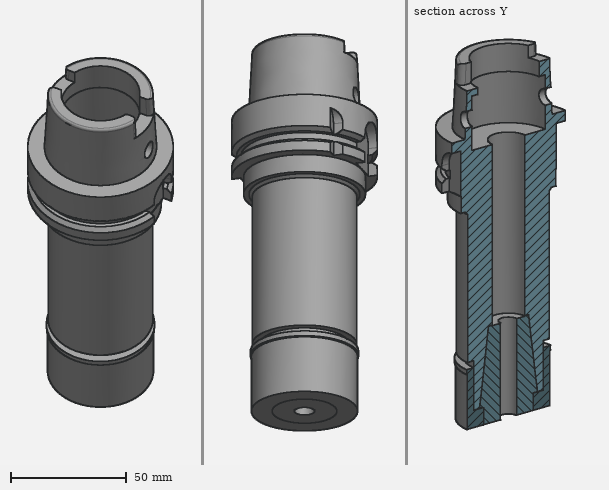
import cadquery as cq


shank_height = 32.0
flange_bottom = -26.0
neck_bottom = -34.0
nut_bottom = -135.0

shank_base_radius = 24.3
shank_taper = 1 / 20
shank_top_radius = shank_base_radius - shank_taper * shank_height
shank_top_fillet = 1.2
clamp_hole_diameter = 7.5
clamp_hole_height = 8.8

notch_width = 12.2
notch_corner_radius = 2.2
left_notch_depth = 5.8
right_notch_depth = 9.8

mouth_radius = 17.0
mouth_depth = 13.0
undercut_radius = 20.2
bore_floor = -6.0
center_bore_radius = 9.0

flange_radius = 31.5
groove_radius = 27.5
groove_side_radius = 29.4
groove_top = -16.2
groove_bottom = -19.85
groove_chamfer_height = 1.65

keyway_width = 16.0
keyway_top = -5.0
keyway_floor = 26.5
index_width = 12.0
index_top = -5.2
index_wall = 19.9
index_floor = 20.2

neck_radius = 26.4
barrel_radius = 22.7
barrel_chamfer = 1.3
barrel_bottom = -104.0
nose_radius = 19.5
nose_bottom = -127.0

nut_radius = 23.0
nut_top = -107.0
nut_lip_radius = 23.4
nut_lip_height = 2.2
nut_lip_chamfer = nut_lip_radius - nut_radius

collet_bore_radius = 4.4
collet_top = -90.0
collet_top_radius = 11.0
collet_seat_radius = 16.0
collet_front_radius = 14.0


def revolve(points):
    """Turn a closed outline of (radius, height) points about Z, starting from -Y."""
    outline = [(-radius, height) for radius, height in points]
    return cq.Workplane("YZ").polyline(outline).close().revolve(360, (0, 0, 0), (0, 1, 0))


def cylinder(radius, bottom, top):
    return cq.Workplane("XY").workplane(offset=bottom).circle(radius).extrude(top - bottom)


def collet_shape():
    """Outside of the collet, also used for its seat in the holder."""
    return revolve([
        (0, nut_bottom),
        (collet_front_radius, nut_bottom),
        (collet_front_radius, nose_bottom),
        (collet_seat_radius, nose_bottom),
        (collet_top_radius, collet_top),
        (0, collet_top),
    ])


def shank_blank():
    return revolve([
        (0, 0),
        (shank_base_radius, 0),
        (shank_top_radius, shank_height),
        (0, shank_height),
    ])


def make_shank():
    shank = shank_blank().cut(cylinder(mouth_radius, shank_height - mouth_depth, shank_height))
    for side, depth in ((-1, left_notch_depth), (1, right_notch_depth)):
        notch_floor = shank_height - depth
        notch = cq.Workplane("XY").box(flange_radius, notch_width, depth, centered=(True, True, False))
        shank = shank.cut(notch.translate((side * flange_radius / 2, 0, notch_floor)))
        outer_corners = cq.selectors.BoxSelector(
            (side * mouth_radius, -notch_width, notch_floor + depth / 4),
            (side * shank_base_radius, notch_width, shank_height - depth / 4),
        )
        shank = shank.edges(outer_corners).fillet(notch_corner_radius)
    rounded_blank = shank_blank().faces(">Z").edges().fillet(shank_top_fillet)
    return shank.intersect(rounded_blank)


def make_flange_and_barrel():
    return revolve([
        (0, 0),
        (flange_radius, 0),
        (flange_radius, groove_top + groove_chamfer_height),
        (groove_side_radius, groove_top),
        (groove_radius, groove_top),
        (groove_radius, groove_bottom),
        (groove_side_radius, groove_bottom),
        (flange_radius, groove_bottom - groove_chamfer_height),
        (flange_radius, flange_bottom),
        (neck_radius, flange_bottom),
        (neck_radius, neck_bottom),
        (barrel_radius + barrel_chamfer, neck_bottom),
        (barrel_radius, neck_bottom - barrel_chamfer),
        (barrel_radius, barrel_bottom),
        (nose_radius, barrel_bottom),
        (nose_radius, nose_bottom),
        (0, nose_bottom),
    ])


def flange_recess(side, center_y, width, top, floor):
    """Round-topped cutter, open downward, from a floor outward along X."""
    radius = width / 2
    center_z = top - radius
    return (
        cq.Workplane("YZ", origin=(side * floor, center_y, 0))
        .moveTo(-radius, flange_bottom)
        .lineTo(-radius, center_z)
        .threePointArc((0, top), (radius, center_z))
        .lineTo(radius, flange_bottom)
        .close()
        .extrude(side * (flange_radius - floor))
    )


def make_holder():
    holder = make_shank().union(make_flange_and_barrel())
    for side in (-1, 1):
        holder = holder.cut(flange_recess(side, 0, keyway_width, keyway_top, keyway_floor))
    index_center = index_wall + index_width / 2
    holder = holder.cut(flange_recess(-1, index_center, index_width, index_top, index_floor))
    holder = holder.cut(cylinder(undercut_radius, bore_floor, shank_height - mouth_depth))
    holder = holder.cut(cylinder(center_bore_radius, collet_top, bore_floor))
    clamp_hole = (
        cq.Workplane("YZ", origin=(-flange_radius, 0, clamp_hole_height))
        .circle(clamp_hole_diameter / 2)
        .extrude(2 * flange_radius)
    )
    return holder.cut(clamp_hole).cut(collet_shape())


def make_collet():
    return collet_shape().cut(cylinder(collet_bore_radius, nut_bottom, collet_top))


def make_nut():
    lip_bottom = nut_top - nut_lip_height
    return revolve([
        (nose_radius, nut_top),
        (nut_lip_radius, nut_top),
        (nut_lip_radius, lip_bottom),
        (nut_radius, lip_bottom - nut_lip_chamfer),
        (nut_radius, nut_bottom),
        (collet_front_radius, nut_bottom),
        (collet_front_radius, nose_bottom),
        (nose_radius, nose_bottom),
    ])


holder = make_holder()
collet = make_collet()
nut = make_nut()

result = cq.Compound.makeCompound([holder.val(), collet.val(), nut.val()])